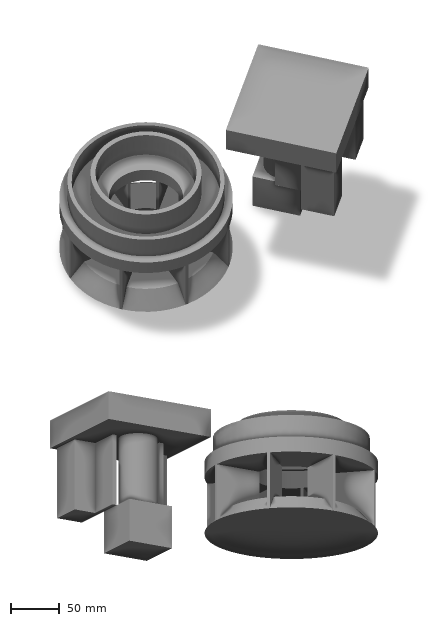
import cadquery as cq
import math

ROTOR_DIA = 177.8
BORE_DIA = 76.2
BASE_HEIGHT = 17.0
BASE_TOP_DIA = 145.2
RECESS_DEPTH = BASE_HEIGHT / 2
VANE_COUNT = 8
VANE_THICKNESS = 3.0
RIM_BOTTOM = 60.0
RIM_TOP = 76.2
COLLAR_DIA = 161.0
COLLAR_BORE = 152.5
COLLAR_HEIGHT = 25.7

RING_DIA = 113.8
RING_BORE = 103.5
RING_GAP = 8.0
RING_HEIGHT = 30.0
RING_BOTTOM = RIM_TOP + RING_GAP

DRIVE_X = 113.2
DRIVE_Y = 115.5
FOOT_SIDE = 50.8
FOOT_HEIGHT = 45.0
FOOT_BOTTOM = -7.0
FOOT_TOP = FOOT_BOTTOM + FOOT_HEIGHT
COLUMN_DIA = 40.0
COLUMN_LENGTH = 75.0
PLATE_BOTTOM = FOOT_TOP + COLUMN_LENGTH
PLATE_LENGTH = 117.5
PLATE_WIDTH = 122.0
PLATE_THICKNESS = 29.8
ASSEMBLY_LENGTH = 276.0
PLATE_X_MAX = ASSEMBLY_LENGTH - ROTOR_DIA / 2
LEG_INSET = 4.0
LEG_LENGTH = 35.3
LEG_WIDTH = 29.5
ARM_THICKNESS = 5.0


def cylinder(diameter, bottom, height):
    """Upright cylinder on the rotor axis."""
    return cq.Workplane("XY").workplane(offset=bottom).circle(diameter / 2).extrude(height)


def tube(diameter, bore, bottom, height):
    """Upright tube on the rotor axis."""
    return cylinder(diameter, bottom, height).cut(cylinder(bore, bottom, height))


def block(x_min, x_max, y_min, y_max, bottom, height):
    """Axis-aligned block between the given limits."""
    return (
        cq.Workplane("XY", origin=(x_min, y_min, bottom))
        .rect(x_max - x_min, y_max - y_min, centered=False)
        .extrude(height)
    )


def make_rotor_base():
    """Conical base disc with a round recess in its top."""
    cone_run = (ROTOR_DIA - BASE_TOP_DIA) / 2
    taper = math.degrees(math.atan(cone_run / BASE_HEIGHT))
    base = cq.Workplane("XY").circle(ROTOR_DIA / 2).extrude(BASE_HEIGHT, taper=taper)
    return base.cut(cylinder(BORE_DIA, BASE_HEIGHT - RECESS_DEPTH, RECESS_DEPTH))


def make_vanes():
    """Radial vanes, each with one face on a plane through the rotor axis."""
    blades = cq.Workplane("XY")
    for index in range(VANE_COUNT):
        blade = block(0, ROTOR_DIA, -VANE_THICKNESS, 0, 0, RIM_BOTTOM)
        angle = index * 360 / VANE_COUNT
        blades = blades.add(blade.rotate((0, 0, 0), (0, 0, 1), angle))
    return tube(ROTOR_DIA, BORE_DIA, 0, RIM_BOTTOM).intersect(blades.combine())


def make_rotor():
    """Recessed base and bored rim joined by the vanes, with a collar on the rim."""
    rim = tube(ROTOR_DIA, BORE_DIA, RIM_BOTTOM, RIM_TOP - RIM_BOTTOM)
    collar = tube(COLLAR_DIA, COLLAR_BORE, RIM_TOP, COLLAR_HEIGHT)
    return rim.union(make_vanes()).union(make_rotor_base()).union(collar)


def make_ring():
    """Plain sleeve on the rotor axis, clear of the rim below it."""
    return tube(RING_DIA, RING_BORE, RING_BOTTOM, RING_HEIGHT)


def make_leg():
    """Leg on the +Y side of the column: a thick post with a thin arm reaching the column axis."""
    post_x_max = PLATE_X_MAX - LEG_INSET
    post_x_min = post_x_max - LEG_LENGTH
    inner_y = DRIVE_Y + FOOT_SIDE / 2
    post = block(post_x_min, post_x_max, inner_y, inner_y + LEG_WIDTH, FOOT_TOP, COLUMN_LENGTH)
    arm = block(DRIVE_X, post_x_min, inner_y, inner_y + ARM_THICKNESS, FOOT_TOP, COLUMN_LENGTH)
    return post.union(arm)


def make_drive_unit():
    """Foot, column, legs and plate as one solid; the legs hang from the plate."""
    foot = block(
        DRIVE_X - FOOT_SIDE / 2, DRIVE_X + FOOT_SIDE / 2,
        DRIVE_Y - FOOT_SIDE / 2, DRIVE_Y + FOOT_SIDE / 2,
        FOOT_BOTTOM, FOOT_HEIGHT,
    )
    column = cylinder(COLUMN_DIA, FOOT_TOP, COLUMN_LENGTH).translate((DRIVE_X, DRIVE_Y, 0))
    plate = block(
        PLATE_X_MAX - PLATE_LENGTH, PLATE_X_MAX,
        DRIVE_Y - PLATE_WIDTH / 2, DRIVE_Y + PLATE_WIDTH / 2,
        PLATE_BOTTOM, PLATE_THICKNESS,
    )
    leg = make_leg()
    opposite_leg = leg.mirror("XZ", (0, DRIVE_Y, 0))
    return plate.union(column).union(foot).union(leg).union(opposite_leg)


rotor = make_rotor()
ring = make_ring()
drive_unit = make_drive_unit()

result = cq.Compound.makeCompound([rotor.val(), ring.val(), drive_unit.val()])